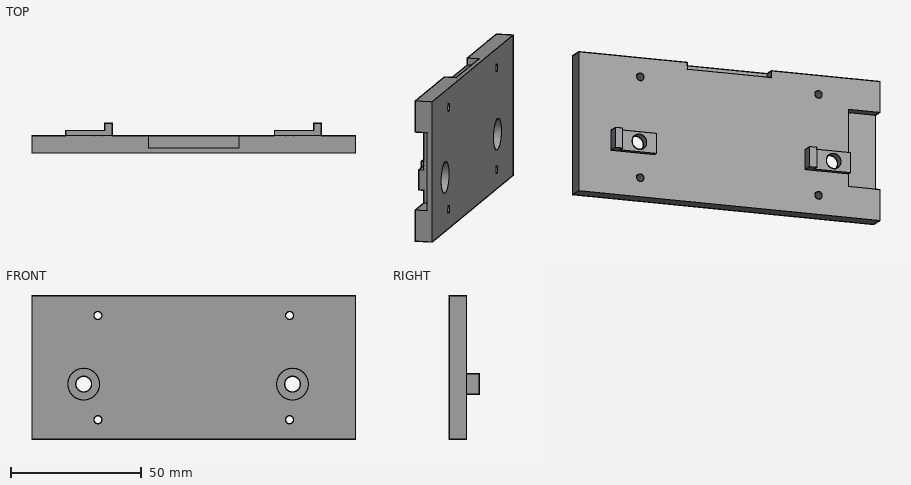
import cadquery as cq

length = 124.0
height = 55.0
thickness = 6.7

notch_web = 2.0
top_notch_width = 34.7
top_notch_depth = 2.7
side_notch_height = 30.5

mount_hole_diameter = 3.0
mount_spacing_x = 73.4
mount_spacing_z = 39.9

screw_diameter = 6.0
counterbore_diameter = 12.2
counterbore_depth = 5.0
screw_z = 21.2
screw_xs = (19.8, 99.8)
hook_length = 18.0
hook_height = 7.9
hook_start = 7.0
side_notch_depth = screw_xs[0] - hook_start
arm_thickness = 2.0
lip_width = 3.0
lip_reach = 4.8


def box(x, y, z, size_x, size_y, size_z):
    """Box with its lowest corner at (x, y, z)."""
    return cq.Workplane("XY").box(size_x, size_y, size_z, centered=False).translate((x, y, z))


def bore(x, z, diameter, depth):
    """Cylinder running back from the front face."""
    base = cq.Vector(x, 0, z)
    return cq.Workplane(cq.Solid.makeCylinder(diameter / 2, depth, base, cq.Vector(0, 1, 0)))


def hook(screw_x):
    """L-shaped hook: a flat arm on the plate's back with a lip at its right end."""
    left = screw_x - hook_start
    bottom = screw_z - hook_height / 2
    arm = box(left, thickness, bottom, hook_length, arm_thickness, hook_height)
    lip_left = left + hook_length - lip_width
    lip = box(lip_left, thickness, bottom, lip_width, lip_reach, hook_height)
    return arm.union(lip)


plate = box(0, 0, 0, length, thickness, height)

notch_thickness = thickness - notch_web
top_notch_x = (length - top_notch_width) / 2
top_notch_z = height - top_notch_depth
plate = plate.cut(box(top_notch_x, notch_web, top_notch_z, top_notch_width, notch_thickness, top_notch_depth))
side_notch_z = (height - side_notch_height) / 2
plate = plate.cut(box(0, notch_web, side_notch_z, side_notch_depth, notch_thickness, side_notch_height))

for screw_x in screw_xs:
    plate = plate.union(hook(screw_x))
    plate = plate.cut(bore(screw_x, screw_z, screw_diameter, thickness + arm_thickness))
    plate = plate.cut(bore(screw_x, screw_z, counterbore_diameter, counterbore_depth))

for side_x in (-1, 1):
    for side_z in (-1, 1):
        hole_x = length / 2 + side_x * mount_spacing_x / 2
        hole_z = height / 2 + side_z * mount_spacing_z / 2
        plate = plate.cut(bore(hole_x, hole_z, mount_hole_diameter, thickness))

result = plate